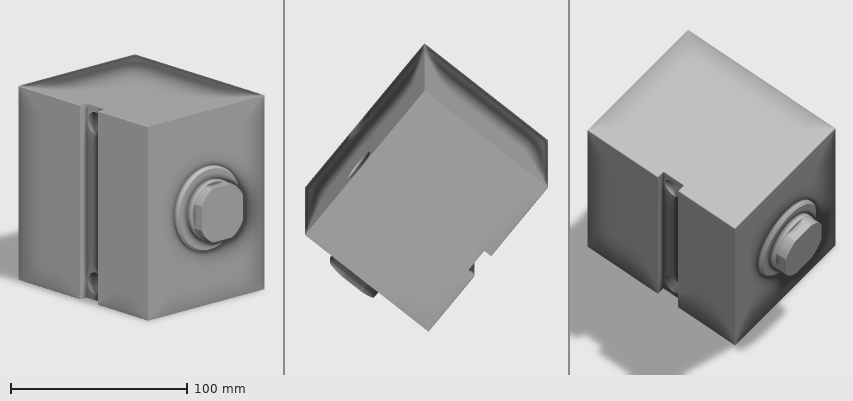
import cadquery as cq

TOTAL_LENGTH = 121.5
HOUSING_LENGTH = 108.0
HOUSING_WIDTH = 90.0
HOUSING_HEIGHT = 115.0
EDGE_CHAMFER = 0.3

SLOT_CENTER_X = 58.9
SLOT_WIDTH = 15.0
SLOT_DEPTH = 5.0
HOLE_SPACING = 95.0
HOLE_DIAMETER = 13.0
COUNTERBORE_DIAMETER = 19.8
COUNTERBORE_DEPTH = 21.5

GLAND_DIAMETER = 50.0
GLAND_LENGTH = 3.2
GLAND_CHAMFER = 1.2

ROD_DIAMETER = 36.0
ROD_CHAMFER = 0.5
ROD_SHOULDER_LENGTH = 6.8
HEAD_DIAMETER = ROD_DIAMETER - 2 * ROD_CHAMFER
HEAD_ACROSS_FLATS = 32.0
ROD_LENGTH = TOTAL_LENGTH - HOUSING_LENGTH
HEAD_LENGTH = ROD_LENGTH - ROD_SHOULDER_LENGTH

FRONT_Y = -HOUSING_WIDTH / 2
BACK_Y = HOUSING_WIDTH / 2


def cylinder_along_x(start_x, diameter, length):
    return cq.Workplane("YZ", origin=(start_x, 0, 0)).circle(diameter / 2).extrude(length)


def cylinder_from_back(z, diameter, depth):
    """Cylinder entering the housing from its +Y face."""
    return (
        cq.Workplane("XZ", origin=(SLOT_CENTER_X, BACK_Y, z))
        .circle(diameter / 2)
        .extrude(depth)
    )


def make_housing():
    block = cq.Workplane("XY").box(
        HOUSING_LENGTH, HOUSING_WIDTH, HOUSING_HEIGHT, centered=(False, True, True)
    )
    block = block.faces("<Y").edges("|X").chamfer(EDGE_CHAMFER)

    slot = cq.Workplane("XY").box(SLOT_WIDTH, 2 * SLOT_DEPTH, HOUSING_HEIGHT)
    block = block.cut(slot.translate((SLOT_CENTER_X, FRONT_Y, 0)))

    for z in (-HOLE_SPACING / 2, HOLE_SPACING / 2):
        block = block.cut(cylinder_from_back(z, HOLE_DIAMETER, HOUSING_WIDTH))
        block = block.cut(cylinder_from_back(z, COUNTERBORE_DIAMETER, COUNTERBORE_DEPTH))
    return block


def make_gland():
    ring = cylinder_along_x(HOUSING_LENGTH, GLAND_DIAMETER, GLAND_LENGTH)
    ring = ring.faces(">X").edges().chamfer(GLAND_CHAMFER)
    return ring.cut(cylinder_along_x(HOUSING_LENGTH, ROD_DIAMETER, GLAND_LENGTH))


def make_rod():
    shoulder = cylinder_along_x(HOUSING_LENGTH, ROD_DIAMETER, ROD_SHOULDER_LENGTH)
    shoulder = shoulder.faces(">X").edges().chamfer(ROD_CHAMFER)

    head_start = HOUSING_LENGTH + ROD_SHOULDER_LENGTH
    head = cylinder_along_x(head_start, HEAD_DIAMETER, HEAD_LENGTH)
    flats = (
        cq.Workplane("YZ", origin=(head_start, 0, 0))
        .rect(HEAD_ACROSS_FLATS, HEAD_ACROSS_FLATS)
        .extrude(HEAD_LENGTH)
    )
    return shoulder.union(head.intersect(flats))


housing = make_housing()
gland = make_gland()
rod = make_rod()

result = cq.Compound.makeCompound([housing.val(), gland.val(), rod.val()])